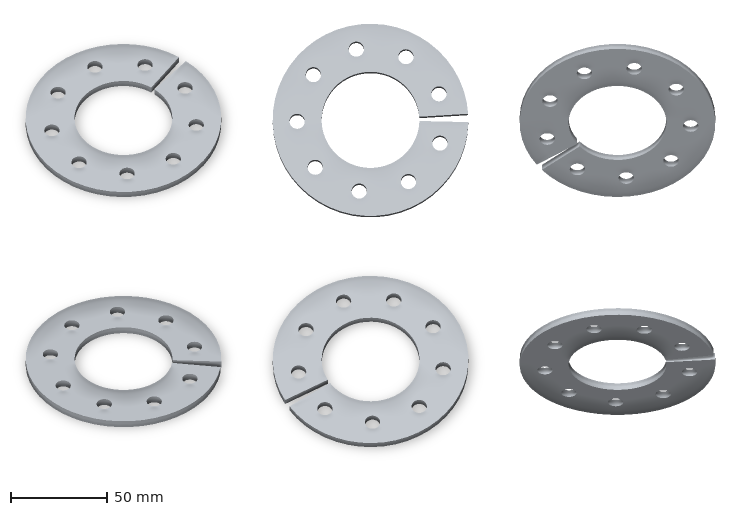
import cadquery as cq
import math

outer_diameter = 101.6
bore_diameter = 50.8
thickness = 4.0
hole_diameter = 7.9
hole_circle_diameter = 76.2
hole_count = 9
first_hole_angle = 90.0
gap_angle = 5.0

hole_pitch_angle = 360.0 / hole_count
gap_center_angle = first_hole_angle + hole_pitch_angle / 2


def polar_point(radius, angle):
    """Return the XY point at a radius and an angle in degrees."""
    return (radius * math.cos(math.radians(angle)), radius * math.sin(math.radians(angle)))


def make_split_ring():
    """Flat ring whose two ends lie on radial lines either side of the gap."""
    outer_radius = outer_diameter / 2
    bore_radius = bore_diameter / 2
    start_angle = gap_center_angle + gap_angle / 2
    end_angle = gap_center_angle - gap_angle / 2
    middle_angle = gap_center_angle + 180.0
    return (
        cq.Workplane("XY")
        .moveTo(*polar_point(outer_radius, start_angle))
        .threePointArc(polar_point(outer_radius, middle_angle), polar_point(outer_radius, end_angle))
        .lineTo(*polar_point(bore_radius, end_angle))
        .threePointArc(polar_point(bore_radius, middle_angle), polar_point(bore_radius, start_angle))
        .close()
        .extrude(thickness)
    )


def make_bolt_holes():
    """Evenly spaced cylinders that pass through the ring."""
    return (
        cq.Workplane("XY")
        .polarArray(hole_circle_diameter / 2, first_hole_angle, 360.0, hole_count)
        .circle(hole_diameter / 2)
        .extrude(thickness)
    )


result = make_split_ring().cut(make_bolt_holes())